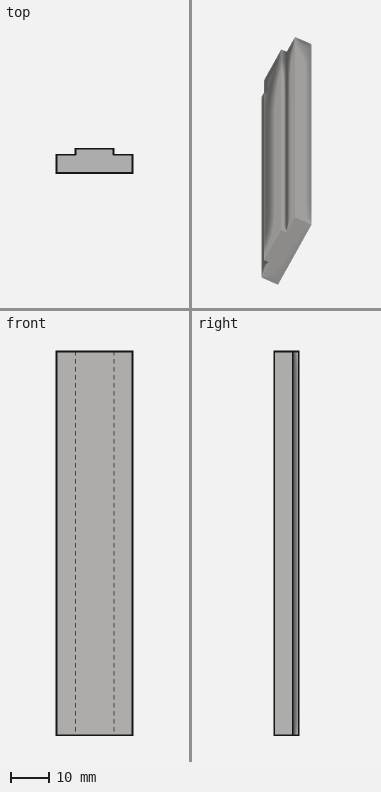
import cadquery as cq

length = 100.0
width = 19.8
depth = 6.4

rail_width = 10.0
rail_height = 1.6
plate_thickness = depth - rail_height

plate = cq.Workplane("XY").box(width, plate_thickness, length, centered=(True, False, False))

rail = (
    cq.Workplane("XY")
    .box(rail_width, rail_height, length, centered=(True, False, False))
    .translate((0, plate_thickness, 0))
)

result = plate.union(rail)